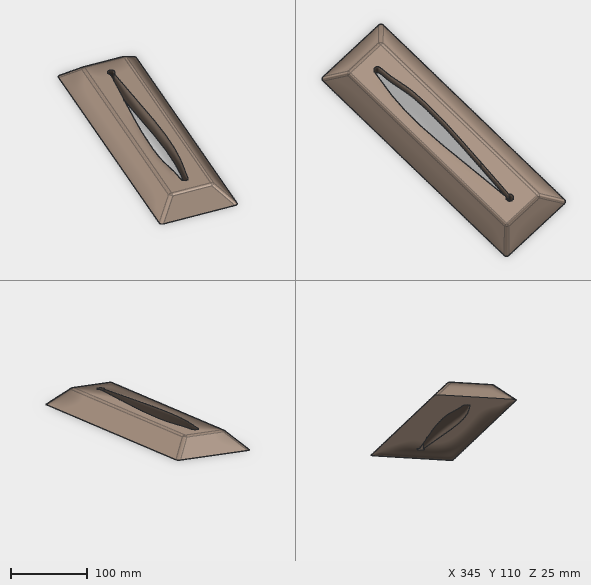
import cadquery as cq
import math

length = 345.0
width = 110.0
height = 25.0
flank_angle = 45.0
edge_radius = 6.2

slot_tail_x = -119.0
slot_tail_half_width = 2.5
slot_taper_middle = (-62, 7.2)
slot_taper_end = (-6.2, 11.7)
slot_widest = (35.2, 13.5)
slot_shoulder = (77.0, 11.7)
slot_nose_shoulder = (118.5, 5.5)
slot_nose_x = 128.0

relief_x = -122.5
relief_radius = 5.0


def make_body():
    """Tapered block with rounded hips and top edges; the base edges stay sharp."""
    block = cq.Workplane("XY").rect(length, width).extrude(height, taper=flank_angle)
    return block.edges("not <Z").fillet(edge_radius)


def mirrored(point):
    """Reflect a slot point across the X axis."""
    return (point[0], -point[1])


def make_slot():
    """Nearly straight tail flowing into a rounded nose, symmetric about X."""
    tail = (slot_tail_x, slot_tail_half_width)
    nose = (slot_nose_x, 0)
    taper_direction = (slot_taper_middle[0] - tail[0], slot_taper_middle[1] - tail[1])
    taper_length = math.hypot(*taper_direction)
    start_direction = tuple(component / taper_length for component in taper_direction)
    end_direction = (-start_direction[0], start_direction[1])
    upper = [slot_taper_middle, slot_taper_end, slot_widest, slot_shoulder, slot_nose_shoulder]
    lower = [mirrored(point) for point in reversed(upper)]
    return (
        cq.Workplane("XY")
        .moveTo(*tail)
        .spline(upper + [nose], tangents=[start_direction, (0, -1)], includeCurrent=True)
        .spline(lower + [mirrored(tail)], tangents=[(0, -1), end_direction], includeCurrent=True)
        .close()
        .extrude(height)
    )


def make_relief_hole():
    """Full-height cylinder that ends the slot."""
    return cq.Workplane("XY").center(relief_x, 0).circle(relief_radius).extrude(height)


result = make_body().cut(make_slot()).cut(make_relief_hole())